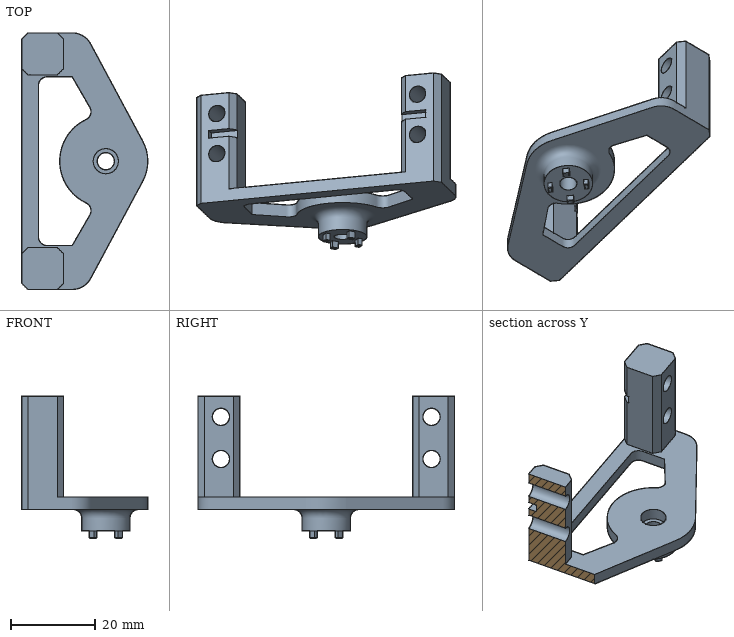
import cadquery as cq
import math

length = 61.0
plate_thickness = 3.0
corner_radius = 5.0
corner_x = 12.0
nose_radius = 10.0
hub_x = 20.0
hub_radius = 11.0

rail_width = 4.0
window_half_length = 20.0
window_slant = math.radians(60)
window_fillet = 2.0

leg_size = 10.0
leg_chamfer = 1.5
leg_top = 26.95
leg_hole_diameter = 4.0
leg_hole_y = 25.0
leg_hole_heights = (12.0, 22.0)
slot_height = 1.9
slot_depth = 2.0

boss_diameter = 11.5
boss_height = 5.05
boss_fillet = 2.0
screw_diameter = 4.0
screw_head_diameter = 6.0
screw_head_depth = 3.0
pin_outer_radius = 4.9
pin_inner_radius = 3.85
pin_width = 1.6
pin_height = 1.75
pin_chamfer = 0.2

half_length = length / 2
leg_inner_y = half_length - leg_size


def plate_outline():
    """Extruded plate whose sloping sides are tangent to the corner and nose arcs."""
    corner_y = half_length - corner_radius
    span_x = hub_x - corner_x
    center_distance = math.hypot(span_x, corner_y)
    normal = math.acos((corner_radius - nose_radius) / center_distance) - math.atan2(corner_y, span_x)

    def corner_point(angle, side):
        x = corner_x + corner_radius * math.cos(angle)
        y = corner_y + corner_radius * math.sin(angle)
        return x, side * y

    def nose_point(side):
        x = hub_x + nose_radius * math.cos(normal)
        y = nose_radius * math.sin(normal)
        return x, side * y

    corner_middle = (normal + math.pi / 2) / 2
    return (
        cq.Workplane("XY")
        .moveTo(leg_chamfer, -half_length)
        .lineTo(corner_x, -half_length)
        .threePointArc(corner_point(corner_middle, -1), corner_point(normal, -1))
        .lineTo(*nose_point(-1))
        .threePointArc((hub_x + nose_radius, 0), nose_point(1))
        .lineTo(*corner_point(normal, 1))
        .threePointArc(corner_point(corner_middle, 1), (corner_x, half_length))
        .lineTo(leg_chamfer, half_length)
        .lineTo(0, half_length - leg_chamfer)
        .lineTo(0, leg_chamfer - half_length)
        .close()
        .extrude(plate_thickness)
    )


def window():
    """Cutter for the opening, a trapezoid with slanted ends less the round hub."""
    slant_run = window_half_length / math.tan(window_slant)
    tip_x = corner_x + slant_run
    cutter = (
        cq.Workplane("XY")
        .moveTo(rail_width, -window_half_length)
        .lineTo(corner_x, -window_half_length)
        .lineTo(tip_x, 0)
        .lineTo(corner_x, window_half_length)
        .lineTo(rail_width, window_half_length)
        .close()
        .extrude(plate_thickness)
    )
    hub = cq.Workplane("XY").center(hub_x, 0).circle(hub_radius).extrude(plate_thickness)
    cutter = cutter.cut(hub).solids("<X")
    cutter = cq.Workplane(cutter.val()).edges("|Z and <X").fillet(window_fillet)
    return cutter.edges("|Z and >X").fillet(window_fillet)


def leg(side):
    """Chamfered square post with two cross holes and a shallow slot between them."""
    post = (
        cq.Workplane("XY")
        .center(leg_size / 2, side * (half_length - leg_size / 2))
        .rect(leg_size, leg_size)
        .extrude(leg_top)
        .edges("|Z")
        .chamfer(leg_chamfer)
    )
    holes = (
        cq.Workplane("YZ")
        .pushPoints([(side * leg_hole_y, z) for z in leg_hole_heights])
        .circle(leg_hole_diameter / 2)
        .extrude(leg_size)
    )
    slot_length = leg_hole_y + leg_hole_diameter / 2 - leg_inner_y
    slot_z = sum(leg_hole_heights) / 2
    slot = cq.Workplane("XY").box(slot_depth, slot_length, slot_height).translate(
        (slot_depth / 2, side * (leg_inner_y + slot_length / 2), slot_z)
    )
    return post.cut(holes).cut(slot)


def boss():
    """Round boss flaring into the plate through a concave fillet."""
    radius = boss_diameter / 2
    flare_radius = radius + boss_fillet
    arc_offset = boss_fillet * (1 - math.sqrt(0.5))
    profile = (
        cq.Workplane("XZ")
        .lineTo(flare_radius, 0)
        .threePointArc((radius + arc_offset, -arc_offset), (radius, -boss_fillet))
        .lineTo(radius, -boss_height)
        .lineTo(0, -boss_height)
        .close()
    )
    return profile.revolve(360, (0, 0, 0), (0, 1, 0)).translate((hub_x, 0, 0))


def pins():
    """Four diagonal pins cut from a thin ring, with parallel sides and chamfered tips."""
    base = cq.Workplane("XY", origin=(0, 0, -boss_height))
    ring = base.circle(pin_outer_radius).circle(pin_inner_radius).extrude(-pin_height)
    bar = base.center(pin_outer_radius / 2, 0).rect(pin_outer_radius, pin_width).extrude(-pin_height)
    pin = ring.intersect(bar).faces("<Z").edges().chamfer(pin_chamfer)
    group = cq.Workplane("XY")
    for angle in (45, 135, 225, 315):
        group = group.add(pin.rotate((0, 0, 0), (0, 0, 1), angle))
    return group.combine().translate((hub_x, 0, 0))


def screw_hole():
    """Cutter for the through hole and its counterbore from the plate's top face."""
    through_height = plate_thickness + boss_height
    through = (
        cq.Workplane("XY", origin=(hub_x, 0, -boss_height))
        .circle(screw_diameter / 2)
        .extrude(through_height)
    )
    head = (
        cq.Workplane("XY", origin=(hub_x, 0, plate_thickness))
        .circle(screw_head_diameter / 2)
        .extrude(-screw_head_depth)
    )
    return through.union(head)


result = plate_outline().cut(window())
for side in (-1, 1):
    result = result.union(leg(side))
result = result.union(boss()).union(pins()).cut(screw_hole())